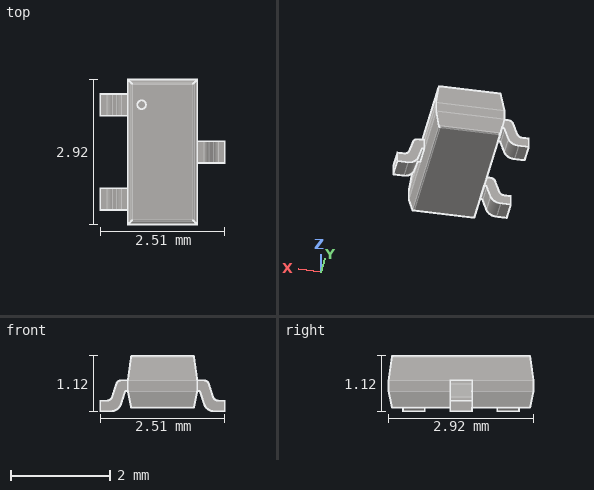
import cadquery as cq
import math

length = 2.92
width = 1.402
top_z = 1.12
bottom_z = 0.07
top_draft = 8.0
bottom_draft = 11.5
rim_radius = 0.03

marker_diameter = 0.175
marker_depth = 0.175
marker_x = -0.42
marker_y = 0.952

span = 2.51
lead_width = 0.445
lead_thickness = 0.22
lead_top_z = 0.628
lead_pitch = 1.898
shank_angle = 18.0
shoulder_reach = 0.207
shoulder_radius = 0.108
shoulder_inner_radius = 0.03
foot_inner_radius = 0.108
heel_radius = 0.22

lead_bottom_z = lead_top_z - lead_thickness


def make_housing():
    """Drafted box with a straight middle band, rounded rims and a marker recess."""
    band = cq.Workplane("XY").workplane(offset=lead_bottom_z).rect(width, length).extrude(lead_thickness)
    upper = (
        cq.Workplane("XY").workplane(offset=lead_top_z).rect(width, length)
        .extrude(top_z - lead_top_z, taper=top_draft)
    )
    lower = (
        cq.Workplane("XY").workplane(offset=lead_bottom_z).rect(width, length)
        .extrude(bottom_z - lead_bottom_z, taper=bottom_draft)
    )
    body = band.union(upper).union(lower)
    body = body.faces(">Z").edges().fillet(rim_radius)
    body = body.faces("<Z").edges().fillet(rim_radius)
    marker = (
        cq.Workplane("XY").workplane(offset=top_z - marker_depth)
        .center(marker_x, marker_y).circle(marker_diameter / 2).extrude(marker_depth)
    )
    return body.cut(marker)


def make_lead(y_center, side):
    """Gull-wing lead; side is -1 for the -X wall and +1 for the +X wall."""
    wall = width / 2
    tip = span / 2
    slope = math.tan(math.radians(shank_angle))
    bend_shift = lead_thickness * math.tan(math.radians((90 - shank_angle) / 2))
    shoulder_x = wall + shoulder_reach
    foot_x = shoulder_x + (lead_top_z - lead_thickness) * slope
    shoulder_inner = (shoulder_x - bend_shift, lead_bottom_z)
    heel = (foot_x - bend_shift, 0)
    corners = [
        (wall, lead_top_z),
        (shoulder_x, lead_top_z),
        (foot_x, lead_thickness),
        (tip, lead_thickness),
        (tip, 0),
        heel,
        shoulder_inner,
        (wall, lead_bottom_z),
    ]
    lead = (
        cq.Workplane("XZ", origin=(0, y_center, 0))
        .polyline([(side * x, z) for x, z in corners]).close()
        .extrude(lead_width / 2, both=True)
    )
    bends = [
        ((shoulder_x, lead_top_z), shoulder_radius),
        ((foot_x, lead_thickness), foot_inner_radius),
        (heel, heel_radius),
        (shoulder_inner, shoulder_inner_radius),
    ]
    for (x, z), radius in bends:
        corner_edge = cq.selectors.NearestToPointSelector((side * x, y_center, z))
        lead = lead.edges("|Y").edges(corner_edge).fillet(radius)
    return lead


housing = make_housing()
lead_places = [(lead_pitch / 2, -1), (-lead_pitch / 2, -1), (0, 1)]
leads = [make_lead(y_center, side) for y_center, side in lead_places]

result = cq.Compound.makeCompound([housing.val(), *[lead.val() for lead in leads]])